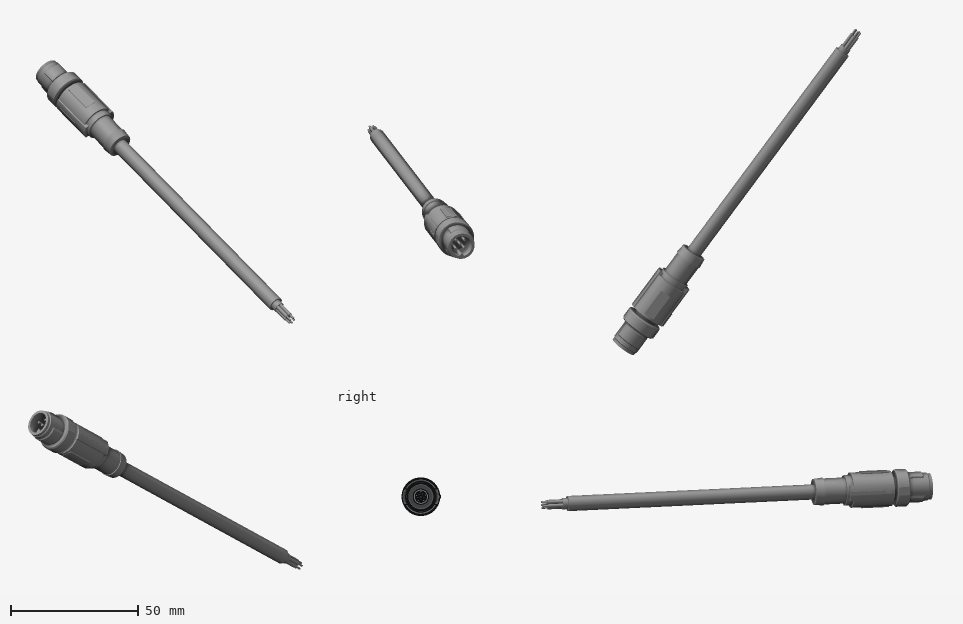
import cadquery as cq
import math


nose_radius = 5.2
sleeve_start = 1.2
sleeve_radius = 5.55
sleeve_lead_in = 0.3

pad_start = 3.3
pad_end = 9.0
pad_end_slope = 0.35
pad_radius = 6.05
top_pad_half_width = 3.5
bottom_pad_half_width = 5.0

bore_radius = 4.15
bore_depth = 9.0
pin_radius = 0.5
pin_offset = 1.7
pin_tip = 2.3
key_radius = 0.9

nut_start = 9.5
nut_end = 14.5
nut_diameter = 14.79
nut_radius = nut_diameter / 2
nut_front_chamfer = 0.5
nut_rear_chamfer = 0.35
nut_flat_half_height = 1.65

core_radius = 4.6
grip_start = 16.0
grip_end = 32.4
grip_radius = 6.95
shoulder_end = 34.9
shoulder_radius = 6.0

overall_width = 15.2
rib_end = 33.9
rib_radius = 7.4
rib_half_height = 3.1
bar_half_height = 0.7
bar_crest = 7.45
mark_end = 22.1
mark_crest = overall_width - bar_crest
mark_half_height = 0.4

label_start = 17.1
label_end = 28.3
label_half_width = 2.15
label_height = 7.05

neck_radius = 5.15
collar_start = 43.6
collar_end = 47.2
collar_radius = 5.5

cable_radius = 3.0
cable_end = 146.9
sheath_radius = 2.2
sheath_end = 149.1
wire_count = 5
wire_circle_radius = 1.24
wire_radius = 0.72
wire_end = 155.0
strand_radius = 0.4
strand_end = 157.3


def rod(start, end, radius, y=0, z=0):
    """Cylinder along X between two stations."""
    return cq.Workplane("YZ", origin=(start, y, z)).circle(radius).extrude(end - start)


def block(start, end, y_min, y_max, z_min, z_max):
    """Axis-aligned box given by its limits."""
    size = (end - start, y_max - y_min, z_max - z_min)
    return cq.Workplane("XY").box(*size, centered=False).translate((start, y_min, z_min))


def chord_distance(radius, half_width):
    """Distance from the axis to a chord of the given half width."""
    return math.sqrt(radius**2 - half_width**2)


def turned_body():
    """All the stepped round stretches, from the plug mouth to the inner sheath."""
    profile = [
        (0, 0),
        (0, nose_radius),
        (sleeve_start, nose_radius),
        (sleeve_start + sleeve_lead_in, sleeve_radius),
        (nut_start, sleeve_radius),
        (nut_start, nut_radius - nut_front_chamfer),
        (nut_start + nut_front_chamfer, nut_radius),
        (nut_end - nut_rear_chamfer, nut_radius),
        (nut_end, nut_radius - nut_rear_chamfer),
        (nut_end, core_radius),
        (grip_start, core_radius),
        (grip_start, grip_radius),
        (grip_end, grip_radius),
        (grip_end, shoulder_radius),
        (shoulder_end, shoulder_radius),
        (shoulder_end, neck_radius),
        (collar_start, neck_radius),
        (collar_start, collar_radius),
        (collar_end, neck_radius),
        (collar_end, cable_radius),
        (cable_end, cable_radius),
        (cable_end, sheath_radius),
        (sheath_end, sheath_radius),
        (sheath_end, 0),
    ]
    return cq.Workplane("XY").polyline(profile).close().revolve(360, (0, 0, 0), (1, 0, 0))


def locking_pads():
    """Raised arcs with sloped ends above and below the sleeve, trimmed to their widths."""
    profile = [
        (pad_start, 0),
        (pad_start, sleeve_radius),
        (pad_start + pad_end_slope, pad_radius),
        (pad_end - pad_end_slope, pad_radius),
        (pad_end, sleeve_radius),
        (pad_end, 0),
    ]
    disc = cq.Workplane("XY").polyline(profile).close().revolve(360, (0, 0, 0), (1, 0, 0))
    top = block(pad_start, pad_end, -top_pad_half_width, top_pad_half_width, 0, pad_radius)
    bottom = block(pad_start, pad_end, -bottom_pad_half_width, bottom_pad_half_width, -pad_radius, 0)
    return disc.intersect(top.union(bottom))


def nut_flats():
    """Material removed to leave a flat on each Y side of the coupling nut."""
    flat = chord_distance(nut_radius, nut_flat_half_height)
    height = nut_flat_half_height
    left = block(nut_start, nut_end, flat, nut_radius, -height, height)
    return left.union(left.mirror("XZ"))


def grip_ribs():
    """Curved rib with a crest bar on each Y side; the +Y bar has a higher mark at its front end."""
    band = block(grip_start, rib_end, -rib_radius, rib_radius, -rib_half_height, rib_half_height)
    ribs = rod(grip_start, rib_end, rib_radius).intersect(band)
    bars = block(grip_start, rib_end, -bar_crest, bar_crest, -bar_half_height, bar_half_height)
    mark = block(grip_start, mark_end, 0, mark_crest, -mark_half_height, mark_half_height)
    return ribs.union(bars).union(mark)


def label_panels():
    """Flat rectangular panels standing slightly proud above and below the grip body."""
    width = label_half_width
    return block(label_start, label_end, -width, width, -label_height, label_height)


def contact_cavity():
    """Bore at the plug mouth, less the coding key along its lower side."""
    key = rod(0, bore_depth, key_radius, z=-bore_radius)
    return rod(0, bore_depth, bore_radius).cut(key)


def contact_pins():
    """Four pins in a square and one in the centre."""
    pins = rod(pin_tip, bore_depth, pin_radius)
    for y in (-pin_offset, pin_offset):
        for z in (-pin_offset, pin_offset):
            pins = pins.union(rod(pin_tip, bore_depth, pin_radius, y, z))
    return pins


def wires():
    """Insulated wires in a ring, one at the bottom, each ending in a bare strand."""
    bundle = cq.Workplane("XY")
    for index in range(wire_count):
        angle = 2 * math.pi * index / wire_count
        y = wire_circle_radius * math.sin(angle)
        z = -wire_circle_radius * math.cos(angle)
        bundle = bundle.add(rod(sheath_end, wire_end, wire_radius, y, z))
        bundle = bundle.add(rod(wire_end, strand_end, strand_radius, y, z))
    return bundle


result = turned_body().union(locking_pads()).cut(nut_flats())
result = result.union(grip_ribs()).union(label_panels())
result = result.cut(contact_cavity()).union(contact_pins())
for wire in wires().vals():
    result = result.union(cq.Workplane(wire))